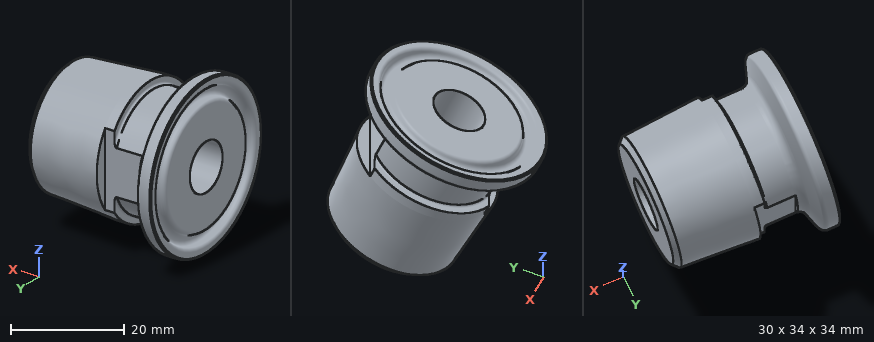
import cadquery as cq
import math


length = 30.0
bore_radius = 5.0

flange_radius = 17.0
flange_front_chamfer = 0.25
flange_slope = math.radians(20.0)
flange_rim_start = 2.25
flange_rim_round = 0.9

groove_center_radius = 13.75
groove_half_width = 2.0
groove_wall_slope = math.radians(20.0)
groove_lip_round = 0.9
groove_floor_round = 1.1

neck_radius = 12.0
neck_flange_round = 2.0
neck_collar_round = 0.5

collar_start = 12.0
collar_end = 14.0
collar_radius = 13.6
taper_end_radius = 12.65
end_chamfer = 1.1

flat_start = 6.0
flat_half_width = 11.0


def arc_point(center, radius, angle):
    """Point on a circle in the (axial, radius) plane."""
    return (center[0] + radius * math.cos(angle), center[1] + radius * math.sin(angle))


def revolve_about_x(profile):
    return profile.close().revolve(360, (0, 0, 0), (1, 0, 0))


def make_body():
    rim_center = (flange_rim_start, flange_radius - flange_rim_round)
    rim_mid = arc_point(rim_center, flange_rim_round, (math.pi / 2 + flange_slope) / 2)
    slope_start = arc_point(rim_center, flange_rim_round, flange_slope)

    root_center_radius = neck_radius + neck_flange_round
    slope_end_radius = root_center_radius - neck_flange_round * math.sin(flange_slope)
    slope_end_x = slope_start[0] + (slope_start[1] - slope_end_radius) * math.tan(flange_slope)
    root_center = (slope_end_x + neck_flange_round * math.cos(flange_slope), root_center_radius)
    root_mid_angle = math.pi + (flange_slope + math.pi / 2) / 2
    root_mid = arc_point(root_center, neck_flange_round, root_mid_angle)

    shoulder_center = (collar_start - neck_collar_round, neck_radius + neck_collar_round)
    shoulder_mid = arc_point(shoulder_center, neck_collar_round, -math.pi / 4)

    profile = (
        cq.Workplane("XZ")
        .moveTo(0, bore_radius)
        .lineTo(0, flange_radius - flange_front_chamfer)
        .lineTo(flange_front_chamfer, flange_radius)
        .lineTo(flange_rim_start, flange_radius)
        .threePointArc(rim_mid, slope_start)
        .lineTo(slope_end_x, slope_end_radius)
        .threePointArc(root_mid, (root_center[0], neck_radius))
        .lineTo(shoulder_center[0], neck_radius)
        .threePointArc(shoulder_mid, (collar_start, shoulder_center[1]))
        .lineTo(collar_start, collar_radius)
        .lineTo(collar_end, collar_radius)
        .lineTo(length - end_chamfer, taper_end_radius)
        .lineTo(length, taper_end_radius - end_chamfer)
        .lineTo(length, bore_radius)
    )
    return revolve_about_x(profile)


def make_groove():
    lip_run = groove_lip_round * math.cos(groove_wall_slope)
    lip_end_x = groove_lip_round * (1 - math.sin(groove_wall_slope))
    lip_end = groove_half_width - lip_run
    floor_half = groove_floor_round * math.cos(groove_wall_slope)
    wall_end_x = lip_end_x + (lip_end - floor_half) / math.tan(groove_wall_slope)
    floor_x = wall_end_x + groove_floor_round * (1 - math.sin(groove_wall_slope))

    lip_mid_angle = (math.pi / 2 + groove_wall_slope) / 2
    lip_mid_x = groove_lip_round * (1 - math.sin(lip_mid_angle))
    lip_mid = groove_half_width - groove_lip_round * math.cos(lip_mid_angle)

    inner = groove_center_radius - groove_half_width
    outer = groove_center_radius + groove_half_width
    profile = (
        cq.Workplane("XZ")
        .moveTo(0, outer)
        .threePointArc(
            (lip_mid_x, groove_center_radius + lip_mid),
            (lip_end_x, groove_center_radius + lip_end),
        )
        .lineTo(wall_end_x, groove_center_radius + floor_half)
        .threePointArc(
            (floor_x, groove_center_radius),
            (wall_end_x, groove_center_radius - floor_half),
        )
        .lineTo(lip_end_x, groove_center_radius - lip_end)
        .threePointArc(
            (lip_mid_x, groove_center_radius - lip_mid),
            (0, inner),
        )
    )
    return revolve_about_x(profile)


def make_flat_cutter(side):
    """Block beyond one wrench flat; side is +1 or -1 along Y."""
    flat_length = collar_end - flat_start
    depth = flange_radius - flat_half_width
    return cq.Workplane("XY").box(flat_length, depth, 2 * flange_radius).translate(
        (flat_start + flat_length / 2, side * (flat_half_width + depth / 2), 0)
    )


result = make_body().cut(make_groove())
for side in (-1, 1):
    result = result.cut(make_flat_cutter(side))